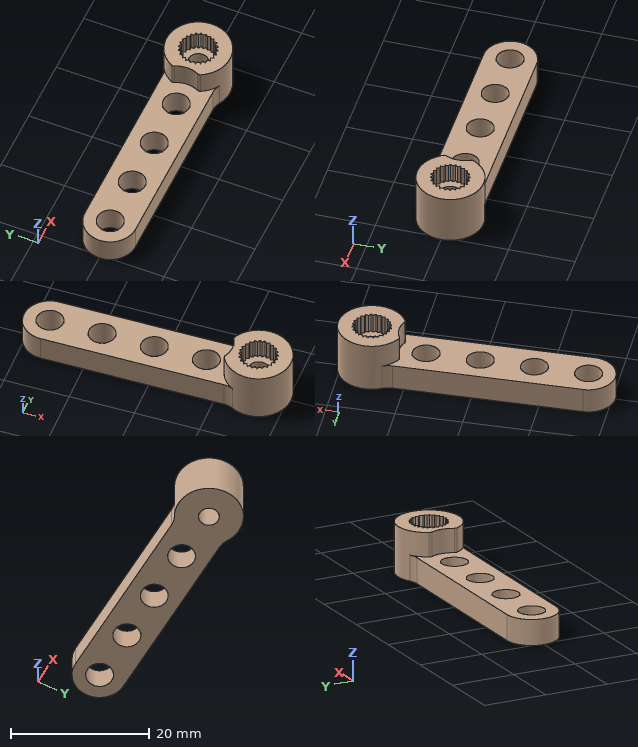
import cadquery as cq
import math

total_length = 41.0
hub_diameter = 10.0
hub_height = 7.75
arm_width = 8.0
arm_height = 4.0
hole_diameter = 4.0
hole_count = 4
neck_blend_radius = 3.0
scallop_edge_radius = 0.5
bore_diameter = 3.0
spline_root_radius = 2.85
spline_tip_radius = 2.55
spline_depth = 3.0
tooth_count = 24

hub_radius = hub_diameter / 2
arm_radius = arm_width / 2
hub_x = total_length - hub_radius
hole_pitch = (hub_x - arm_radius) / hole_count
hole_centers = [(arm_radius + i * hole_pitch, 0) for i in range(hole_count)]


def cylinder(center_x, radius, bottom, height):
    return cq.Workplane("XY", origin=(center_x, 0, bottom)).circle(radius).extrude(height)


def make_arm():
    """Flat bar with one rounded end, blended tangentially into the hub."""
    bar = (
        cq.Workplane("XY")
        .moveTo(hub_x, -arm_radius)
        .lineTo(arm_radius, -arm_radius)
        .threePointArc((0, 0), (arm_radius, arm_radius))
        .lineTo(hub_x, arm_radius)
        .close()
        .extrude(arm_height)
    )
    joined = bar.union(cylinder(hub_x, hub_radius, 0, arm_height))
    corner_x = hub_x - math.sqrt(hub_radius**2 - arm_radius**2)
    for side in (-1, 1):
        corner = cq.selectors.NearestToPointSelector((corner_x, side * arm_radius, arm_height / 2))
        joined = joined.edges("|Z").edges(corner).fillet(neck_blend_radius)
    return joined


def make_hub_top():
    """Raised hub, scalloped around the nearest arm hole with eased corners."""
    height = hub_height - arm_height
    last_hole_x = hole_centers[-1][0]
    hub = cylinder(hub_x, hub_radius, arm_height, height)
    scalloped = hub.cut(cylinder(last_hole_x, arm_radius, arm_height, height))
    corner_reach = (hole_pitch**2 + arm_radius**2 - hub_radius**2) / (2 * hole_pitch)
    corner_x = last_hole_x + corner_reach
    corner_y = math.sqrt(arm_radius**2 - corner_reach**2)
    for side in (-1, 1):
        corner = cq.selectors.NearestToPointSelector((corner_x, side * corner_y, arm_height + height / 2))
        scalloped = scalloped.edges("|Z").edges(corner).fillet(scallop_edge_radius)
    return scalloped


def make_spline_socket():
    """Toothed socket volume, open at the top of the hub."""
    outline = []
    for i in range(2 * tooth_count):
        angle = math.pi * i / tooth_count
        radius = spline_root_radius if i % 2 == 0 else spline_tip_radius
        outline.append((radius * math.cos(angle), radius * math.sin(angle)))
    floor = cq.Workplane("XY", origin=(hub_x, 0, hub_height - spline_depth))
    return floor.polyline(outline).close().extrude(spline_depth)


arm_holes = cq.Workplane("XY").pushPoints(hole_centers).circle(hole_diameter / 2).extrude(arm_height)
bore = cylinder(hub_x, bore_diameter / 2, 0, hub_height)

result = make_arm().union(make_hub_top()).cut(arm_holes).cut(make_spline_socket()).cut(bore)